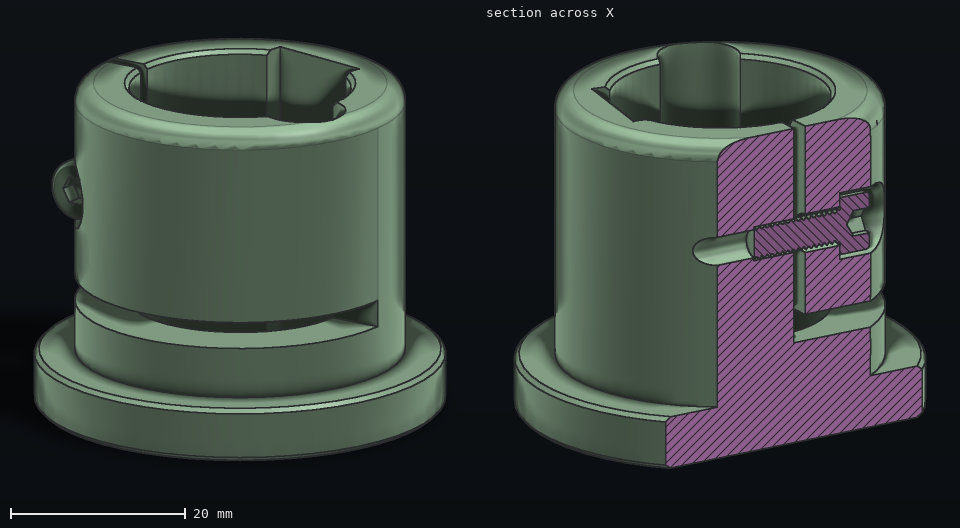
import cadquery as cq
import math

flange_diameter = 47.0
flange_height = 6.25
flange_chamfer = 0.5
hub_diameter = 37.8
collar_height = 38.0
hub_fillet = 2.1
bore_diameter = 25.4
bore_chamfer = 0.5

keyway_width = 12.35
keyway_floor_distance = 13.3
keyway_turn = -9.7

relief_radius = 4.75
relief_angle = -21.3
relief_center_distance = bore_diameter / 2

arm_slot_bottom = 12.13
arm_slot_top = 15.25
split_width = 1.5

screw_x = -15.75
screw_z = 25.05
head_diameter = 6.95
head_height = 4.0
head_fillet = 0.5
head_seat_y = -6.25
thread_diameter = 4.0
thread_root_diameter = 3.3
thread_pitch = 0.7
thread_groove_count = 16
shank_length = 11.6
socket_across_flats = 3.0
socket_depth = 2.0
socket_tip_angle = 118.0

counterbore_diameter = 8.0
clearance_diameter = 4.6
tap_drill_diameter = 3.35

hub_radius = hub_diameter / 2
bore_radius = bore_diameter / 2
split_x = -(hub_radius + bore_radius) / 2
screw_tip_y = head_seat_y + shank_length


def rod_along_y(diameter, y_start, y_end):
    """Cylinder on the screw axis between two Y positions."""
    return cq.Workplane(
        cq.Solid.makeCylinder(
            diameter / 2,
            y_end - y_start,
            cq.Vector(screw_x, y_start, screw_z),
            cq.Vector(0, 1, 0),
        )
    )


def collar_blank():
    """Flange and hub with their edge breaks and the chamfered bore."""
    flange = cq.Workplane("XY").circle(flange_diameter / 2).extrude(flange_height)
    flange = flange.faces("<Z or >Z").edges().chamfer(flange_chamfer)
    hub = cq.Workplane("XY").circle(hub_radius).extrude(collar_height)
    hub = hub.faces(">Z").edges().fillet(hub_fillet)
    bore = cq.Workplane("XY").circle(bore_radius).extrude(collar_height)
    bore_mouth = cq.Workplane(
        cq.Solid.makeCone(
            bore_radius,
            bore_radius + bore_chamfer,
            bore_chamfer,
            cq.Vector(0, 0, collar_height - bore_chamfer),
        )
    )
    return flange.union(hub).cut(bore).cut(bore_mouth)


def keyway():
    """Flat-floored slot along the whole bore, turned about the bore axis."""
    return (
        cq.Workplane("XY")
        .rect(keyway_width, keyway_floor_distance, centered=(True, False))
        .extrude(collar_height)
        .rotate((0, 0, 0), (0, 0, 1), keyway_turn)
    )


def relief():
    """Round relief from the top face down into the arm slot."""
    angle = math.radians(relief_angle)
    return (
        cq.Workplane("XY", origin=(0, 0, arm_slot_top))
        .center(relief_center_distance * math.cos(angle), relief_center_distance * math.sin(angle))
        .circle(relief_radius)
        .extrude(collar_height - arm_slot_top)
    )


def arm_slot():
    """Horizontal slot under the clamp arm, across the whole -Y half of the hub."""
    return (
        cq.Workplane("XY", origin=(0, -hub_radius / 2, arm_slot_bottom))
        .rect(hub_diameter, hub_radius)
        .extrude(arm_slot_top - arm_slot_bottom)
    )


def arm_split():
    """Vertical split through the -X wall, from the arm slot to the top."""
    return (
        cq.Workplane("XY", origin=(split_x, -split_width / 2, arm_slot_bottom))
        .rect(hub_radius - bore_radius + 2 * bore_chamfer, split_width)
        .extrude(collar_height - arm_slot_bottom)
    )


def screw_hole():
    """Counterbore, clearance hole, threaded stretch and tap drill on the screw axis."""
    counterbore = rod_along_y(counterbore_diameter, -hub_radius, head_seat_y)
    clearance = rod_along_y(clearance_diameter, head_seat_y, -split_width / 2)
    thread = rod_along_y(thread_diameter, -split_width / 2, screw_tip_y)
    tap_drill = rod_along_y(tap_drill_diameter, screw_tip_y, hub_radius)
    return counterbore.union(clearance).union(thread).union(tap_drill)


def make_collar():
    return collar_blank().cut(keyway()).cut(relief()).cut(arm_slot()).cut(arm_split()).cut(screw_hole())


def hex_socket(head_top_y):
    """Hexagonal socket, corners on the X direction, with a conical drill-point bottom."""
    corner_radius = socket_across_flats / math.sqrt(3)
    tip_depth = corner_radius / math.tan(math.radians(socket_tip_angle / 2))
    hexagon = (
        cq.Workplane("XZ", origin=(screw_x, head_top_y, screw_z))
        .polygon(6, 2 * corner_radius)
        .extrude(-(socket_depth + tip_depth))
    )
    drilled_y = head_top_y + socket_depth
    drill_tip = cq.Workplane(
        cq.Solid.makeCone(
            corner_radius, 0, tip_depth, cq.Vector(screw_x, drilled_y, screw_z), cq.Vector(0, 1, 0)
        )
    )
    drill = rod_along_y(2 * corner_radius, head_top_y, drilled_y).union(drill_tip)
    return hexagon.intersect(drill)


def make_screw():
    """Socket head screw turned from a half profile of radius against Y."""
    head_top_y = head_seat_y - head_height
    head_radius = head_diameter / 2
    crest_radius = thread_diameter / 2
    root_radius = thread_root_diameter / 2
    profile = (
        cq.Workplane("XY", origin=(screw_x, 0, screw_z))
        .moveTo(0, head_top_y)
        .lineTo(head_radius, head_top_y)
        .lineTo(head_radius, head_seat_y)
        .lineTo(crest_radius, head_seat_y)
    )
    first_groove_y = screw_tip_y - thread_groove_count * thread_pitch
    profile = profile.lineTo(crest_radius, first_groove_y)
    for groove in range(thread_groove_count):
        groove_y = first_groove_y + groove * thread_pitch
        profile = profile.lineTo(root_radius, groove_y + thread_pitch / 2)
        profile = profile.lineTo(crest_radius, groove_y + thread_pitch)
    blank = profile.lineTo(0, screw_tip_y).close().revolve(360, (0, 0, 0), (0, 1, 0))
    blank = blank.faces("<Y").edges().fillet(head_fillet)
    return blank.cut(hex_socket(head_top_y))


collar = make_collar()
screw = make_screw()

result = cq.Compound.makeCompound([collar.solids().val(), screw.solids().val()])